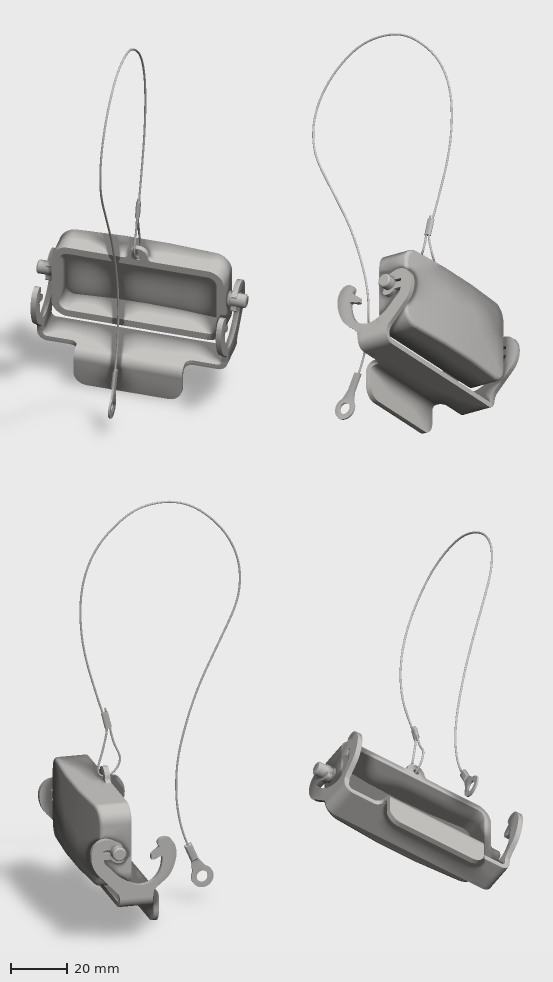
import cadquery as cq
import math


cover_half_width = 31.8
cover_half_height = 15.2
cover_corner_radius = 6.0
cover_wall = 2.7
cover_mouth_y = -6.2
cover_back_edge_y = 5.3
cover_back_crown_y = 7.1
cover_back_thickness = 1.8
cover_back_fillet = 1.2

eyelet_radius = 3.6
eyelet_hole_radius = 1.14
eyelet_thickness = 2.0
eyelet_height = 16.2
eyelet_root_fillet = 1.7

pin_diameter = 5.0
pin_radius = pin_diameter / 2
pin_span = 77.2
pin_tip_x = pin_span / 2
pin_tip_chamfer = 0.5
pin_collar_radius = 2.9
pin_collar_length = 0.9

sheet = 2.0
bend_radius = 3.8
bail_half_width = 35.2
bail_bottom_z = -22.0
strip_back_y = -1.0
strip_front_y = -13.2
flap_front_y = -19.5
flap_bottom_z = -34.0
flap_half_width = 20.0
flap_corner_radius = 5.0
flap_root_fillet = 2.6
hook_base_z = bail_bottom_z + bend_radius
jaw_slit_depth = 5.2
jaw_slit_height = 1.0
jaw_slit_z = 0.3

cord_radius = 0.38
ferrule_center = (-5.8, 37.2)
ferrule_length = 6.0
ferrule_width = 2.6
ferrule_thickness = 1.5
ferrule_tilt = 14
strand_offset = 0.6
cord_stub = 1.5

ring_center = (-41.3, -25.0)
ring_radius = 4.1
ring_hole_radius = 2.1
ring_tilt = 23.5
ring_back_x = 0.8
ring_sheet = 0.68
neck_start = 2.3
neck_half_width = 2.9
barrel_thickness = 1.29
barrel_width = 2.9
barrel_start = 6.8
barrel_end = 13.6
barrel_edge_chamfer = 0.53
cord_insertion = 1.5
cord_lead = 0.9

fillet_margin = 0.002


def side_profile(start_x):
    """YZ workplane whose local axes are global Y and Z, extruding towards +X."""
    return cq.Workplane("YZ", origin=(start_x, 0, 0))


def along_tilt(center, tilt, along, across=0):
    """Point at a distance along and across an axis leaning back by `tilt`; across is to the front."""
    angle = math.radians(tilt)
    y = center[0] + along * math.sin(angle) - across * math.cos(angle)
    z = center[1] + along * math.cos(angle) + across * math.sin(angle)
    return (y, z)


def crowned_block(inset, back_offset):
    """Rounded rectangular block from the mouth to the crowned back, moved in by the given amounts."""
    half_width = cover_half_width - inset
    edge_y = cover_back_edge_y - back_offset
    plan = (
        cq.Workplane("XY", origin=(0, 0, -cover_half_height + inset))
        .moveTo(-half_width, cover_mouth_y)
        .lineTo(half_width, cover_mouth_y)
        .lineTo(half_width, edge_y)
        .threePointArc((0, cover_back_crown_y - back_offset), (-half_width, edge_y))
        .close()
        .extrude(2 * (cover_half_height - inset))
    )
    return plan.edges("|Y").fillet(cover_corner_radius - inset)


def make_eyelet():
    """Round eyelet with flared roots, flush with the mouth of the cover."""
    rise = eyelet_height - cover_half_height
    flare_z = cover_half_height + eyelet_root_fillet
    flare_x = math.sqrt((eyelet_radius + eyelet_root_fillet) ** 2 - (rise - eyelet_root_fillet) ** 2)
    share = eyelet_radius / (eyelet_radius + eyelet_root_fillet)
    tangent_x = flare_x * share
    tangent_z = eyelet_height + (flare_z - eyelet_height) * share
    tangent_angle = math.atan2(tangent_z - flare_z, tangent_x - flare_x)
    straight_down = 1.5 * math.pi
    middle_angle = (tangent_angle % (2 * math.pi) + straight_down) / 2
    middle_x = flare_x + eyelet_root_fillet * math.cos(middle_angle)
    middle_z = flare_z + eyelet_root_fillet * math.sin(middle_angle)
    root_z = cover_half_height - cover_wall / 2
    return (
        cq.Workplane("XZ", origin=(0, cover_mouth_y, 0))
        .moveTo(-flare_x, root_z)
        .lineTo(-flare_x, cover_half_height)
        .threePointArc((-middle_x, middle_z), (-tangent_x, tangent_z))
        .threePointArc((0, eyelet_height + eyelet_radius), (tangent_x, tangent_z))
        .threePointArc((middle_x, middle_z), (flare_x, cover_half_height))
        .lineTo(flare_x, root_z)
        .close()
        .extrude(-eyelet_thickness)
    )


def make_pin(side):
    """Hinge pin with its collar; side is +1 or -1."""
    root_x = cover_half_width - cover_wall / 2
    collar_end_x = cover_half_width + pin_collar_length
    collar = side_profile(root_x).circle(pin_collar_radius).extrude(collar_end_x - root_x)
    shaft = (
        side_profile(root_x)
        .circle(pin_radius)
        .extrude(pin_tip_x - root_x)
        .faces(">X")
        .chamfer(pin_tip_chamfer)
    )
    pin = collar.union(shaft)
    return pin if side > 0 else pin.mirror("YZ")


def make_cover():
    """Hollow cap with its eyelet and both hinge pins."""
    shell = crowned_block(0, 0).faces(">Y").edges().fillet(cover_back_fillet)
    shell = shell.cut(crowned_block(cover_wall, cover_back_thickness))
    eyelet_hole = (
        cq.Workplane("XZ", origin=(0, cover_mouth_y, eyelet_height))
        .circle(eyelet_hole_radius)
        .extrude(-eyelet_thickness)
    )
    cover = shell.union(make_eyelet()).cut(eyelet_hole)
    for side in (1, -1):
        cover = cover.union(make_pin(side))
    return cover


def make_strip():
    """Strip under the cover with both ends bent up towards the hooks."""
    depth = strip_back_y - strip_front_y
    half_inside = bail_half_width - sheet
    strip = (
        cq.Workplane("XY", origin=(0, strip_front_y, bail_bottom_z))
        .box(2 * bail_half_width, depth, bend_radius, centered=(True, False, False))
        .edges("|Y and <Z")
        .fillet(bend_radius - fillet_margin)
    )
    inside = (
        cq.Workplane("XY", origin=(0, strip_front_y, bail_bottom_z + sheet))
        .box(2 * half_inside, depth, bend_radius, centered=(True, False, False))
        .edges("|Y and <Z")
        .fillet(bend_radius - sheet)
    )
    return strip.cut(inside)


def make_hook_plate(side):
    """Plate with a front hook and a rear jaw that clasps the hinge pin; side is +1 or -1."""
    outline = (
        side_profile(bail_half_width - sheet)
        .moveTo(strip_front_y, hook_base_z)
        .lineTo(-13.5, -15.8)
        .spline([(-15.3, -14.0), (-19.0, -10.8), (-21.1, -6.7), (-21.8, -2.1), (-20.8, 1.7), (-18.4, 3.6),
                 (-15.8, 3.2), (-14.9, 1.7)], includeCurrent=True)
        .lineTo(-15.6, 0.2)
        .lineTo(-12.6, -2.3)
        .lineTo(-12.6, -4.1)
        .lineTo(-14.0, -4.1)
        .lineTo(-15.8, -3.2)
        .lineTo(-16.7, -3.3)
        .spline([(-16.4, -6.7), (-14.7, -10.5), (-12.1, -12.6), (-8.6, -13.3), (-4.5, -12.1), (-0.6, -9.5),
                 (2.5, -6.4), (4.7, -4.0), (5.0, -2.6)], includeCurrent=True)
        .lineTo(2.3, -2.7)
        .spline([(0.3, -4.1), (-1.7, -4.1), (-2.6, -3.2)], includeCurrent=True)
        .lineTo(-2.1, -2.0)
        .lineTo(-1.8, 2.3)
        .spline([(0.6, 3.6), (4.0, 4.7), (7.0, 4.0), (9.1, 1.5), (9.63, -1.8), (8.8, -5.5), (6.5, -8.8)],
                includeCurrent=True)
        .lineTo(0.8, -14.9)
        .threePointArc((-0.6, -16.7), (strip_back_y, hook_base_z))
        .close()
        .extrude(sheet)
    )
    seat = side_profile(bail_half_width - sheet).circle(pin_radius).extrude(sheet)
    slit = (
        side_profile(bail_half_width - sheet)
        .center(jaw_slit_depth / 2, jaw_slit_z)
        .rect(jaw_slit_depth, jaw_slit_height)
        .extrude(sheet)
    )
    plate = outline.cut(seat).cut(slit)
    return plate if side > 0 else plate.mirror("YZ")


def make_flap():
    """Front flap curving down from the strip, with concave roots and rounded lower corners."""
    top_z = bail_bottom_z + sheet
    bend_start_y = flap_front_y + bend_radius
    bend_end_z = top_z - bend_radius
    outer_drop = bend_radius * (1 - math.sqrt(0.5))
    inner_drop = (bend_radius - sheet) * (1 - math.sqrt(0.5))
    flap_back_y = flap_front_y + sheet
    root_half_width = flap_half_width + flap_root_fillet
    flap = (
        side_profile(-root_half_width)
        .moveTo(strip_front_y, top_z)
        .lineTo(bend_start_y, top_z)
        .threePointArc((flap_front_y + outer_drop, top_z - outer_drop), (flap_front_y, bend_end_z))
        .lineTo(flap_front_y, flap_bottom_z)
        .lineTo(flap_back_y, flap_bottom_z)
        .lineTo(flap_back_y, bend_end_z)
        .threePointArc((flap_back_y + inner_drop, bail_bottom_z - inner_drop), (bend_start_y, bail_bottom_z))
        .lineTo(strip_front_y, bail_bottom_z)
        .close()
        .extrude(2 * root_half_width)
    )
    beside_flap = (
        cq.Workplane("XY")
        .box(flap_root_fillet, strip_front_y - flap_front_y, -flap_bottom_z, centered=False)
        .translate((flap_half_width, flap_front_y, flap_bottom_z))
        .edges("|Z and <X and >Y")
        .fillet(flap_root_fillet - fillet_margin)
    )
    flap = flap.cut(beside_flap).cut(beside_flap.mirror("YZ"))
    return flap.edges("|Y and <Z").fillet(flap_corner_radius)


def make_bail():
    """Strip, flap and both hook plates as one bent sheet."""
    bail = make_strip().union(make_flap())
    for side in (1, -1):
        bail = bail.union(make_hook_plate(side))
    return bail


def make_cord():
    """Round cord swept along one curve, from the ring terminal up, over and through the eyelet."""
    half_length = ferrule_length / 2

    def strand(along, across):
        return along_tilt(ferrule_center, ferrule_tilt, along, across)

    terminal_stretch = [
        along_tilt(ring_center, ring_tilt, barrel_end - cord_insertion),
        along_tilt(ring_center, ring_tilt, barrel_end + cord_lead),
    ]
    large_loop = [
        (-31.8, 3.5), (-31.5, 11.2), (-32.3, 20.8), (-34.6, 31.0), (-39.6, 46.1), (-45.2, 58.4),
        (-50.0, 68.4), (-54.0, 78.1), (-55.0, 85.7), (-53.8, 94.6), (-49.7, 103.3), (-42.8, 111.0),
        (-34.9, 115.9), (-26.1, 117.31), (-16.5, 115.3), (-9.1, 110.1), (-3.2, 103.6), (1.4, 94.6),
        (3.5, 85.0), (3.8, 78.1), (3.2, 69.0), (1.7, 60.7), (-1.2, 50.2),
    ]
    running_strand = [strand(half_length, -strand_offset), strand(-half_length, -strand_offset)]
    eye = [
        (-5.3, 29.7), (-3.6, 23.2), (-2.7, 19.4), (-3.2, 17.0), (-5.0, 16.1), (-7.1, 16.7),
        (-9.9, 19.3), (-10.8, 22.7), (-9.5, 26.1), (-8.2, 29.5),
    ]
    returning_strand = [strand(-half_length, strand_offset), strand(half_length + cord_stub, strand_offset)]
    points = terminal_stretch + large_loop + running_strand + eye + returning_strand
    path = side_profile(0).spline(points)
    start = cq.Plane(
        origin=(0, *points[0]),
        xDir=(1, 0, 0),
        normal=path.val().tangentAt(0),
    )
    return cq.Workplane(start).circle(cord_radius).sweep(path)


def make_ferrule(cord):
    """Flattened sleeve with rounded sides around both strands, bored by the cord."""
    bottom = along_tilt(ferrule_center, ferrule_tilt, -ferrule_length / 2)
    axis = (0, math.sin(math.radians(ferrule_tilt)), math.cos(math.radians(ferrule_tilt)))
    section = cq.Plane(origin=(0, *bottom), xDir=(1, 0, 0), normal=axis)
    sleeve = cq.Workplane(section).slot2D(ferrule_width, ferrule_thickness, 90).extrude(ferrule_length)
    return sleeve.cut(cord)


def make_terminal(cord):
    """Flat ring with a tapering neck and a thicker barrel, bored for the end of the cord."""

    def point(along, across):
        return along_tilt(ring_center, ring_tilt, along, across)

    front_x = ring_back_x - ring_sheet
    ring = side_profile(front_x).center(*ring_center).circle(ring_radius).extrude(ring_sheet)
    neck = (
        side_profile(front_x)
        .polyline([
            point(neck_start, neck_half_width),
            point(barrel_start, barrel_width / 2),
            point(barrel_start, -barrel_width / 2),
            point(neck_start, -neck_half_width),
        ])
        .close()
        .extrude(ring_sheet)
    )
    ring_hole = side_profile(front_x).center(*ring_center).circle(ring_hole_radius).extrude(ring_sheet)
    axis = (0, math.sin(math.radians(ring_tilt)), math.cos(math.radians(ring_tilt)))
    section = cq.Plane(origin=(ring_back_x, *point(barrel_start, 0)), xDir=(1, 0, 0), normal=axis)
    barrel = (
        cq.Workplane(section)
        .center(-barrel_thickness / 2, 0)
        .rect(barrel_thickness, barrel_width)
        .extrude(barrel_end - barrel_start)
        .faces("<X")
        .edges("not |Y")
        .chamfer(barrel_edge_chamfer)
    )
    return ring.union(neck).cut(ring_hole).union(barrel).cut(cord)


cover = make_cover()
bail = make_bail()
cord = make_cord()
ferrule = make_ferrule(cord)
terminal = make_terminal(cord)

result = cq.Compound.makeCompound([cover.val(), bail.val(), cord.val(), ferrule.val(), terminal.val()])